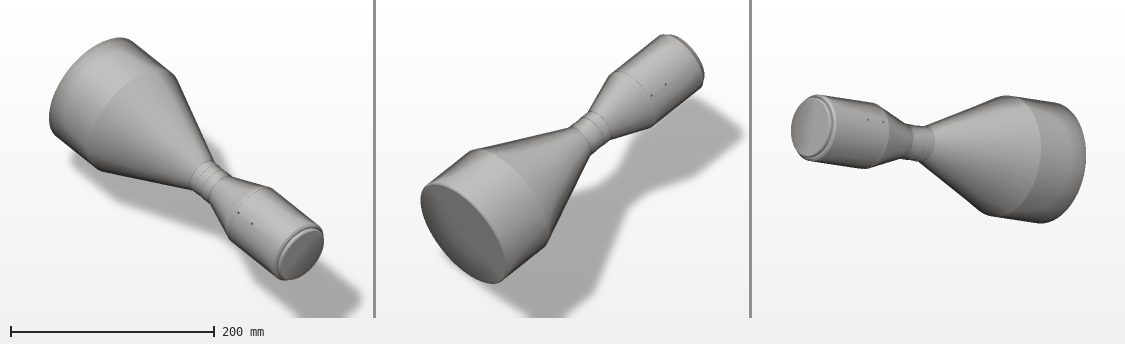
import cadquery as cq

length = 308.5
front_diameter = 120.0
front_radius = front_diameter / 2
neck_radius = 17.5
rear_radius = 33.0
lip_radius = 29.3

front_end = 60.0
neck_start = 161.3
neck_ring_start = 169.7
neck_ring_end = 179.5
neck_end = 190.0
rear_start = 233.8
band_end = 236.5
sleeve_joint = 256.5
rear_chamfer_start = 302.3
lip_start = 304.2

front_chamfer = 1.2
lip_chamfer = 1.0
rear_chamfer = lip_start - rear_chamfer_start
groove_width = 1.0
groove_depth = 0.3
neck_ring_depth = 0.3

hole_diameter = 2.8
hole_depth = 3.0
hole_count = 3
first_hole_angle = 45.0
hole_offset_from_joint = 3.5
hole_positions = (band_end + hole_offset_from_joint, sleeve_joint + hole_offset_from_joint)


def turned_body():
    """Solid of revolution: front drum, two cones meeting at a neck, rear sleeve and lip."""
    profile = [
        (0, 0),
        (0, front_radius - front_chamfer),
        (front_chamfer, front_radius),
        (front_end, front_radius),
        (neck_start, neck_radius),
        (neck_end, neck_radius),
        (rear_start, rear_radius),
        (rear_chamfer_start, rear_radius),
        (lip_start, rear_radius - rear_chamfer),
        (lip_start, lip_radius),
        (length - lip_chamfer, lip_radius),
        (length, lip_radius - lip_chamfer),
        (length, 0),
    ]
    return cq.Workplane("XZ").polyline(profile).close().revolve(360, (0, 0, 0), (1, 0, 0))


def ring_cutter(start, width, outer_radius, depth):
    """Ring that removes the given depth below a cylindrical surface."""
    return (
        cq.Workplane("YZ", origin=(start, 0, 0))
        .circle(outer_radius + depth)
        .circle(outer_radius - depth)
        .extrude(width)
    )


def set_screw_hole(position, angle):
    """Blind radial hole; the angle is measured from -Y towards +Z."""
    return (
        cq.Workplane("XZ", origin=(position, 0, 0))
        .circle(hole_diameter / 2)
        .extrude(rear_radius + hole_depth)
        .intersect(
            cq.Workplane("XZ", origin=(position, hole_depth - rear_radius, 0))
            .circle(hole_diameter)
            .extrude(2 * hole_depth)
        )
        .rotate((0, 0, 0), (1, 0, 0), -angle)
    )


result = turned_body()

result = result.cut(
    ring_cutter(neck_ring_start, neck_ring_end - neck_ring_start, neck_radius, neck_ring_depth)
)

for start, radius in (
    (neck_start, neck_radius),
    (neck_ring_end - groove_width, neck_radius - neck_ring_depth),
    (neck_end - groove_width, neck_radius),
    (band_end, rear_radius),
    (lip_start, lip_radius),
):
    result = result.cut(ring_cutter(start, groove_width, radius, groove_depth))

for position in hole_positions:
    for index in range(hole_count):
        angle = first_hole_angle + index * 360 / hole_count
        result = result.cut(set_screw_hole(position, angle))